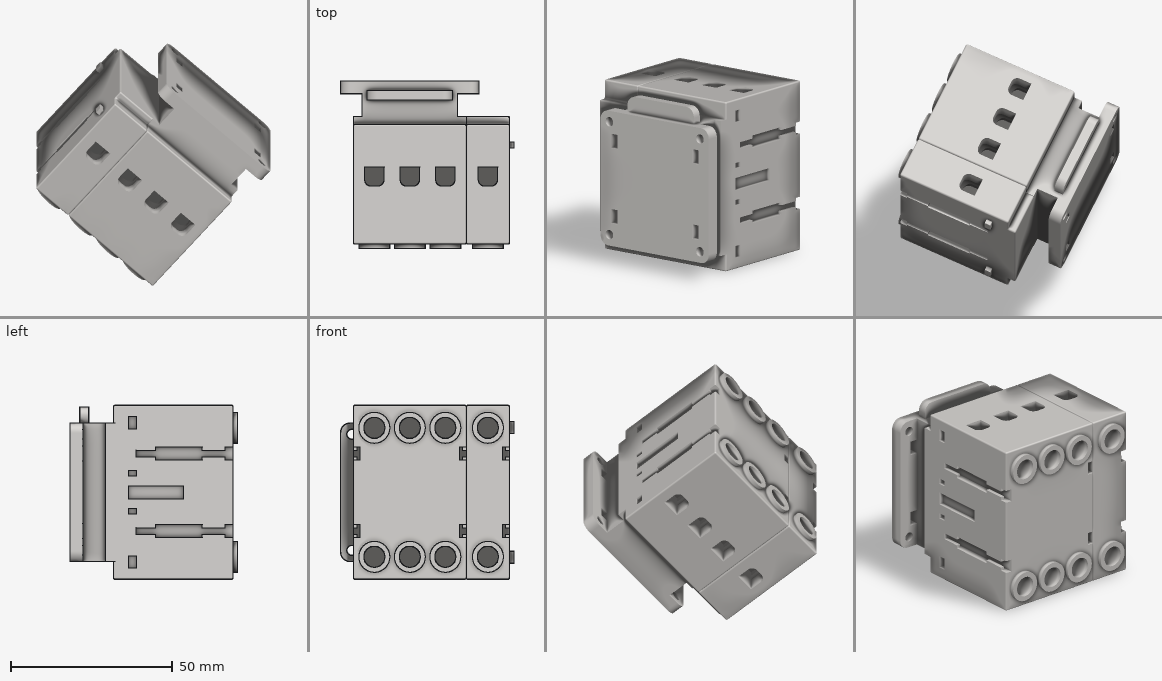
import cadquery as cq


main_width = 35.0
side_width = 13.4
total_width = main_width + side_width
body_height = 54.0
body_depth = 37.1
edge_radius = 0.5

step_height = 43.0
side_step_height = 42.0
step_back = 39.6
step_root = body_depth - 2 * edge_radius

neck_inset = 2.65
plate_overhang = 4.0
plate_thickness = 4.0
plate_back = 50.6
plate_front = plate_back - plate_thickness
plate_corner_radius = 3.0
plate_hole_diameter = 3.0
plate_hole_x = -0.5
plate_hole_z = 18.0
plate_slot_height = 4.6

tab_width = 26.4
tab_height = 5.0
tab_front = 44.7
tab_thickness = 2.9
tab_corner_radius = 3.0

terminal_pitch = 11.0
main_terminal_count = 3
main_terminals_x = [
    main_width / 2 + (i - (main_terminal_count - 1) / 2) * terminal_pitch
    for i in range(main_terminal_count)
]
side_terminal_x = total_width - side_width / 2
terminals_x = main_terminals_x + [side_terminal_x]
terminal_z = 20.0
collar_diameter = 9.6
collar_length = 1.4
bore_diameter = 6.5

window_width = 6.0
window_front = 18.0
window_back = 23.9
window_corner_radius = 2.0
window_depth = body_height / 2 - (terminal_z - bore_diameter / 2)

slot_z = 12.0
slot_mouth_height = 2.0
slot_inner_height = 4.0
slot_lip = 1.2
slot_depth = 2.1
slot_end = 30.1
slot_wide_mouths = [(0.0, 2.5), (9.6, 24.0)]

pocket_depth = 1.4
pocket_back = 32.4
short_pocket_front = 30.0
long_pocket_front = 15.4
long_pocket_height = 4.0
small_pocket_height = 1.75
small_pocket_z = 5.9
tall_pocket_height = 3.8
tall_pocket_z = 21.6

lug_length = 1.4
lug_height = 3.8
lug_thickness = 1.9
lug_front = 29.8
lug_z = 20.1


def block(x_range, y_range, z_range):
    """Axis-aligned box between the given limits."""
    lows, highs = zip(x_range, y_range, z_range)
    sizes = [high - low for low, high in zip(lows, highs)]
    return cq.Workplane("XY").box(*sizes, centered=False).translate(lows)


def centred(middle, size):
    """Limits of a span of the given size about its middle."""
    return (middle - size / 2, middle + size / 2)


def t_slots(face_x, inward):
    """Two T-slots cut from the side face at face_x; inward is +1 or -1 along X."""
    def depths(start, end):
        return sorted((face_x + inward * start, face_x + inward * end))

    cutter = cq.Workplane("XY")
    for z in (-slot_z, slot_z):
        inner_z = centred(z, slot_inner_height)
        cutter = cutter.add(block(depths(0, slot_depth), (0, slot_end), centred(z, slot_mouth_height)))
        cutter = cutter.add(block(depths(slot_lip, slot_depth), (0, slot_end), inner_z))
        for mouth in slot_wide_mouths:
            cutter = cutter.add(block(depths(0, slot_depth), mouth, inner_z))
    return cutter.combine()


def main_module():
    """Three-pole housing with its raised back step."""
    body = block((0, main_width), (0, body_depth), centred(0, body_height))
    body = body.edges().fillet(edge_radius)
    step = block((0, main_width), (step_root, step_back), centred(0, step_height))
    return body.union(step).cut(t_slots(0, 1)).cut(t_slots(main_width, -1))


def side_module():
    """Single-pole housing whose step is rounded along its convex and concave edges."""
    x_range = (main_width, total_width)
    body = block(x_range, (0, body_depth), centred(0, body_height))
    step = block(x_range, (body_depth, step_back), centred(0, side_step_height))
    housing = body.union(step).clean()
    step_left_edges = cq.selectors.BoxSelector(
        (main_width - edge_radius, body_depth + edge_radius, -body_height),
        (main_width + edge_radius, step_back + edge_radius, body_height),
    )
    housing = housing.edges(cq.selectors.InverseSelector(step_left_edges)).fillet(edge_radius)
    return housing.cut(t_slots(total_width, -1))


def plate():
    """Neck and mounting plate, with corner holes and slots beside the neck."""
    middle = main_width / 2
    neck = block((neck_inset, main_width - neck_inset), (step_root, plate_back), centred(0, step_height))
    flange = block(
        (-plate_overhang, main_width + plate_overhang), (plate_front, plate_back), centred(0, step_height)
    )
    flange = flange.edges("|Y").fillet(plate_corner_radius)
    hole_spacing = 2 * (middle - plate_hole_x)
    flange = (
        flange.faces("<Y").workplane(origin=(middle, 0, 0))
        .rect(hole_spacing, 2 * plate_hole_z, forConstruction=True)
        .vertices().hole(plate_hole_diameter)
    )
    for z in (-slot_z, slot_z):
        for x_range in ((0, neck_inset), (main_width - neck_inset, main_width)):
            flange = flange.cut(block(x_range, (plate_front, plate_back), centred(z, plate_slot_height)))
    return neck.union(flange)


def latch_tab():
    """Upright tab with rounded upper corners on top of the neck."""
    tab = block(
        centred(main_width / 2, tab_width),
        (tab_front, tab_front + tab_thickness),
        (0, step_height / 2 + tab_height),
    )
    return tab.edges("|Y and >Z").fillet(tab_corner_radius)


def front_cylinders(diameter, y_start, y_end):
    """Cylinders along Y at every terminal."""
    points = [(x, z) for x in terminals_x for z in (-terminal_z, terminal_z)]
    return (
        cq.Workplane("XZ", origin=(0, y_start, 0)).pushPoints(points)
        .circle(diameter / 2).extrude(y_start - y_end)
    )


def windows():
    """Pockets in the upper and lower faces that open into the terminal bores."""
    cutter = cq.Workplane("XY")
    floor_z = body_height / 2 - window_depth
    for x in terminals_x:
        for z_range in ((floor_z, body_height / 2), (-body_height / 2, -floor_z)):
            window = block(centred(x, window_width), (window_front, window_back), z_range)
            cutter = cutter.add(window.edges("|Z and <Y").fillet(window_corner_radius))
    return cutter.combine()


def side_pocket(height, z, front):
    """Shallow rectangular pocket in the left side face."""
    return block((0, pocket_depth), (front, pocket_back), centred(z, height))


def side_pockets():
    """The long central pocket with a small and a tall pocket above and below it."""
    cutter = side_pocket(long_pocket_height, 0, long_pocket_front)
    for sign in (-1, 1):
        cutter = cutter.add(side_pocket(small_pocket_height, sign * small_pocket_z, short_pocket_front))
        cutter = cutter.add(side_pocket(tall_pocket_height, sign * tall_pocket_z, short_pocket_front))
    return cutter.combine()


def lugs():
    """Locating lugs on the right side face."""
    lug_pair = cq.Workplane("XY")
    for z in (-lug_z, lug_z):
        x_range = (total_width - edge_radius, total_width + lug_length)
        y_range = (lug_front, lug_front + lug_thickness)
        lug_pair = lug_pair.add(block(x_range, y_range, centred(z, lug_height)))
    return lug_pair.combine()


result = main_module().union(side_module()).union(plate()).union(latch_tab()).union(lugs())
result = result.union(front_cylinders(collar_diameter, -collar_length, edge_radius))
result = result.cut(front_cylinders(bore_diameter, -collar_length, window_back))
result = result.cut(windows()).cut(side_pockets())